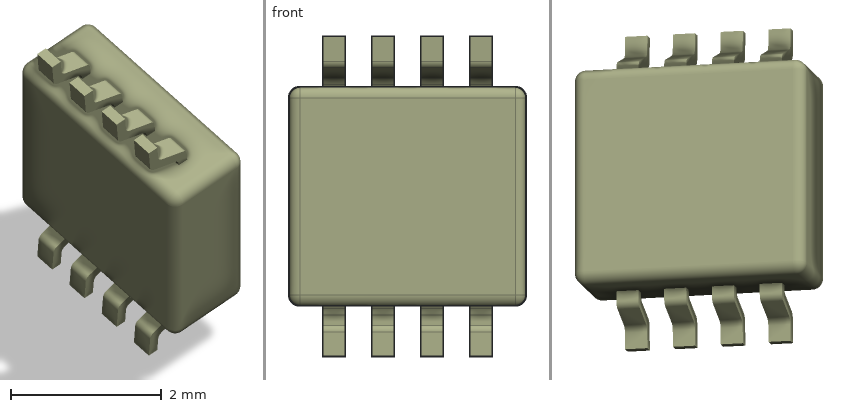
import cadquery as cq
import math


body_width = 3.15
body_depth = 1.25
body_height = 2.905
body_fillet = 0.15

overall_height = 4.25
leads_per_end = 4
lead_pitch = 0.65
lead_width = 0.3
lead_thickness = 0.15
lead_bend_radius = 0.098
foot_standoff = 0.05
root_height = 0.205
lead_tilt_angle = 4
shank_angle = 20

root_tilt = math.tan(math.radians(lead_tilt_angle))
shank_slope = math.tan(math.radians(shank_angle))

body_end = body_height / 2
lead_reach = overall_height / 2 - body_end


def make_body():
    return cq.Workplane("XY").box(body_width, body_depth, body_height).edges().fillet(body_fillet)


def lead_profile():
    """Sharp-cornered (Y, Z) outline of an upper lead, whose back edge leaves the body at Y = 0."""
    tip_back = -(body_depth / 2 + foot_standoff) + lead_thickness

    shank_rise = (-tip_back - lead_reach * root_tilt) / (1 / shank_slope - root_tilt)
    root_back = (-root_height * root_tilt, body_end + root_height)
    foot_back = (root_back[0] - shank_rise / shank_slope, root_back[1] + shank_rise)

    shank_drop = lead_thickness * math.hypot(1, shank_slope)
    step_z = (shank_slope * lead_thickness - shank_drop) / (1 - shank_slope * root_tilt)
    step_y = -lead_thickness - step_z * root_tilt
    root_front = (root_back[0] + step_y, root_back[1] + step_z)
    foot_front = (foot_back[0] + step_y, foot_back[1] + step_z)

    return [
        (0, body_end),
        root_back,
        foot_back,
        (tip_back, body_end + lead_reach),
        (tip_back - lead_thickness, body_end + lead_reach),
        foot_front,
        root_front,
        (-lead_thickness, body_end),
    ]


def make_lead():
    lead = cq.Workplane("YZ").polyline(lead_profile()).close().extrude(lead_width / 2, both=True)
    bends = lead.edges("|X").edges("not(<Z or >Z)")
    return bends.fillet(lead_bend_radius)


result = make_body()
upper_lead = make_lead()
lower_lead = upper_lead.mirror("XY")
for index in range(leads_per_end):
    lead_x = (index - (leads_per_end - 1) / 2) * lead_pitch
    result = result.union(upper_lead.translate((lead_x, 0, 0)))
    result = result.union(lower_lead.translate((lead_x, 0, 0)))